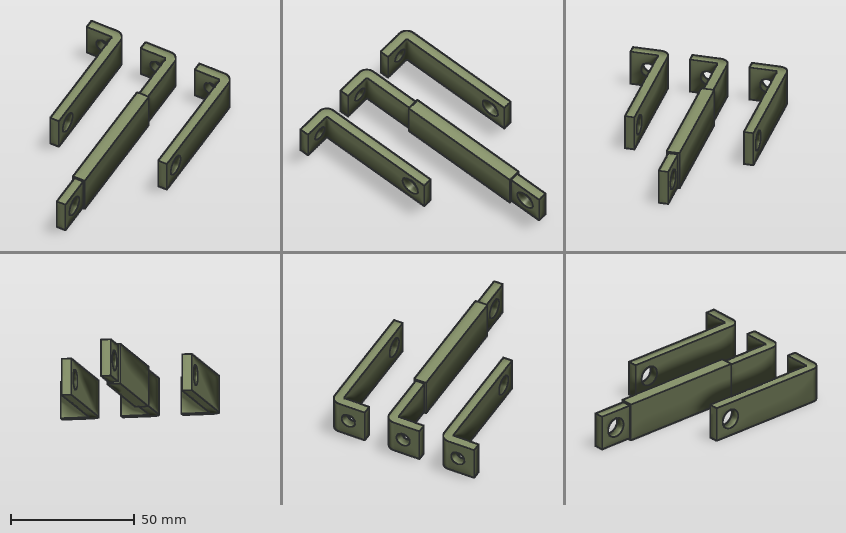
import cadquery as cq

total_width = 65.8
total_length = 96.0

bar_thickness = 4.0
bar_height = 15.0
foot_length = 15.7
inner_bend_radius = 0.5
outer_bend_radius = bar_thickness

short_length = 56.1
bar_pitch = (total_width - foot_length) / 2

foot_hole_diameter = 6.0
end_hole_diameter = 8.3
hole_inset = bar_height / 2

sleeve_height = 16.4
sleeve_wall = (sleeve_height - bar_height) / 2
sleeve_thickness = bar_thickness + 2 * sleeve_wall
sleeve_length = 54.0
sleeve_end_gap = 15.0

back_y = total_length / 2
foot_face_y = back_y - bar_thickness
leg_inner_x = foot_length - bar_thickness
leg_centre_x = foot_length - bar_thickness / 2


def make_bar(length):
    """L-shaped bar with a rounded bend and one through hole in each leg."""
    end_y = back_y - length
    bar = (
        cq.Workplane("XY")
        .moveTo(0, back_y)
        .lineTo(foot_length - outer_bend_radius, back_y)
        .radiusArc((foot_length, back_y - outer_bend_radius), outer_bend_radius)
        .lineTo(foot_length, end_y)
        .lineTo(leg_inner_x, end_y)
        .lineTo(leg_inner_x, foot_face_y - inner_bend_radius)
        .radiusArc((leg_inner_x - inner_bend_radius, foot_face_y), -inner_bend_radius)
        .lineTo(0, foot_face_y)
        .close()
        .extrude(bar_height / 2, both=True)
    )
    foot_hole = (
        cq.Workplane("XZ", origin=(hole_inset, back_y, 0))
        .circle(foot_hole_diameter / 2)
        .extrude(bar_thickness)
    )
    end_hole = (
        cq.Workplane("YZ", origin=(leg_inner_x, end_y + hole_inset, 0))
        .circle(end_hole_diameter / 2)
        .extrude(bar_thickness)
    )
    return bar.cut(foot_hole).cut(end_hole)


def make_sleeved_bar():
    """Full-length bar, thickened all round by the sleeve along its long leg."""
    sleeve_centre_y = back_y - total_length + sleeve_end_gap + sleeve_length / 2
    sleeve = cq.Workplane("XY", origin=(leg_centre_x, sleeve_centre_y, 0)).box(
        sleeve_thickness, sleeve_length, sleeve_height
    )
    return make_bar(total_length).union(sleeve)


def place(bar, index):
    """Move a bar to its position in the row, which is centred on X = 0."""
    return bar.translate((index * bar_pitch - total_width / 2, 0, 0))


outer_bars = [place(make_bar(short_length), index) for index in (0, 2)]
middle_bar = place(make_sleeved_bar(), 1)

result = cq.Compound.makeCompound([middle_bar.val(), *[bar.val() for bar in outer_bars]])